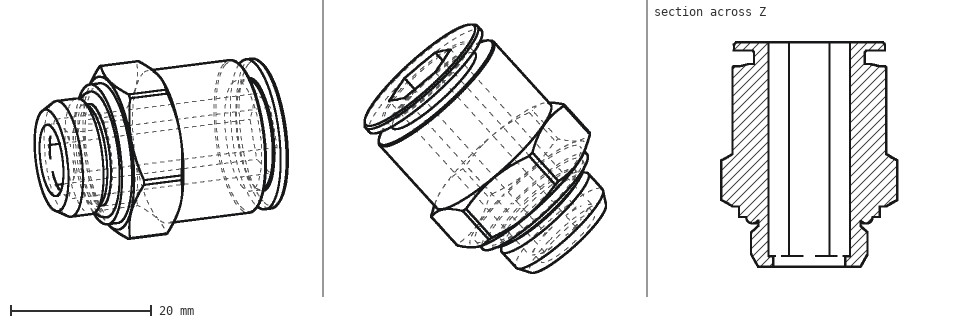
import cadquery as cq
import math

LENGTH = 31.9

spigot_radius = 8.3
neck_radius = 7.27
tip_chamfer_length = 1.82
spigot_end = 4.9
neck_start = 5.85

ring_radius = 9.0
ring_section_radius = 0.93
ring_seat = 7.08
seat_radius = 10.02

hex_across_flats = 22.0
hex_across_corners = 25.0
hex_start = 8.58
hex_end = 16.05
hex_chamfer_radius = 10.9
hex_chamfer_angle = 30.0

body_radius = 10.95
body_end = 28.5
body_edge_chamfer = 0.2
cone_base_radius = 10.05
cone_top_radius = 8.6
cone_end = 28.85

sleeve_radius = 7.9
collar_radius = 10.75
collar_start = 30.7
collar_chamfer = 0.32
collar_root_chamfer = 0.2

bore_radius = 5.1
socket_across_flats = 10.02
socket_start = 1.53


def revolve_about_y(profile):
    return profile.close().revolve(360, (0, 0, 0), (0, 1, 0))


def hex_prism(across_flats, start, end):
    """Hexagonal prism along Y with two corners on the X axis."""
    corner_diameter = across_flats / math.cos(math.radians(30))
    plane = cq.Workplane("XZ", origin=(0, start, 0))
    return plane.polygon(6, corner_diameter).extrude(start - end)


def make_turned_body():
    return revolve_about_y(
        cq.Workplane("XY")
        .moveTo(0, 0)
        .lineTo(neck_radius, 0)
        .lineTo(spigot_radius, tip_chamfer_length)
        .lineTo(spigot_radius, spigot_end)
        .lineTo(neck_radius, neck_start)
        .lineTo(neck_radius, ring_seat)
        .lineTo(seat_radius, ring_seat)
        .lineTo(seat_radius, hex_start)
        .lineTo(body_radius, hex_start)
        .lineTo(body_radius, body_end - body_edge_chamfer)
        .lineTo(body_radius - body_edge_chamfer, body_end)
        .lineTo(cone_base_radius, body_end)
        .lineTo(cone_top_radius, cone_end)
        .lineTo(sleeve_radius, cone_end)
        .lineTo(sleeve_radius, collar_start - collar_root_chamfer)
        .lineTo(sleeve_radius + collar_root_chamfer, collar_start)
        .lineTo(collar_radius, collar_start)
        .lineTo(collar_radius, LENGTH - collar_chamfer)
        .lineTo(collar_radius - collar_chamfer, LENGTH)
        .lineTo(0, LENGTH)
    )


def make_sealing_ring():
    """Round-section ring, half sunk into the seat flange."""
    ring_center_radius = ring_radius - ring_section_radius
    section = cq.Workplane("XY").center(ring_center_radius, ring_seat).circle(ring_section_radius)
    return section.revolve(360, (-ring_center_radius, 0, 0), (-ring_center_radius, 1, 0))


def make_hexagon():
    """Hexagon with turned corners and a conical chamfer at both ends."""
    corner_radius = hex_across_corners / 2
    slope = math.tan(math.radians(hex_chamfer_angle))
    chamfer_length = (corner_radius - hex_chamfer_radius) * slope
    envelope = revolve_about_y(
        cq.Workplane("XY")
        .moveTo(0, hex_start)
        .lineTo(hex_chamfer_radius, hex_start)
        .lineTo(corner_radius, hex_start + chamfer_length)
        .lineTo(corner_radius, hex_end - chamfer_length)
        .lineTo(hex_chamfer_radius, hex_end)
        .lineTo(0, hex_end)
    )
    return hex_prism(hex_across_flats, hex_start, hex_end).intersect(envelope)


def make_bore():
    """Through bore with the corners of a hexagon socket cut into its wall."""
    bore = cq.Workplane("XZ").circle(bore_radius).extrude(-LENGTH)
    return bore.union(hex_prism(socket_across_flats, socket_start, LENGTH))


solid_fitting = make_turned_body().union(make_sealing_ring()).union(make_hexagon())
result = solid_fitting.cut(make_bore())